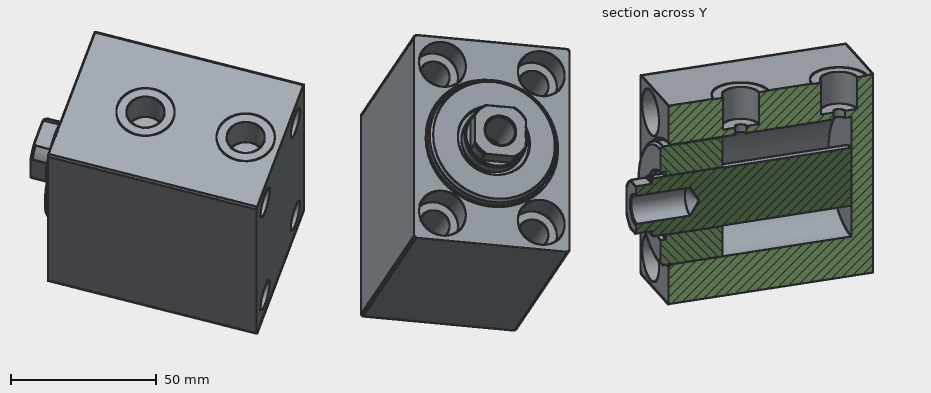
import cadquery as cq
import math

BLOCK_LENGTH = 75.0
BLOCK_WIDTH = 55.0
BLOCK_HEIGHT = 75.0
EDGE_CHAMFER = 0.7

BOLT_PITCH_Y = 35.0
BOLT_PITCH_Z = 55.0
BOLT_DIAMETER = 10.5
BOLT_HEAD_DIAMETER = 16.5
BOLT_HEAD_DEPTH = 11.0

PORT_FIRST_X = 26.5
PORT_SPACING = 36.0
PORT_DIAMETER = 13.05
PORT_DEPTH = 12.2
PORT_SEAT_DIAMETER = 20.0
PORT_SEAT_DEPTH = 0.2
PORT_DRILL_DIAMETER = 4.0

GLAND_DIAMETER = 45.0
GLAND_PROTRUSION = 3.0
GLAND_DEPTH = 20.0
GLAND_CHAMFER = 1.0
GLAND_RECESS_DIAMETER = 25.5
GLAND_RECESS_DEPTH = 1.9

BORE_MOUTH_CHAMFER = 1.0
BORE_END_WALL = 8.0
BORE_DEPTH = BLOCK_LENGTH - BORE_END_WALL

ROD_DIAMETER = 22.0
ROD_PROTRUSION = 12.0
NECK_LENGTH = 6.0
NECK_DIAMETER = 21.05
NECK_ACROSS_FLATS = 18.0
LEAD_CHAMFER_LENGTH = 0.7
SHOULDER_CHAMFER_RADIAL = 0.4
NECK_CHAMFER_RADIAL = 0.3
ROD_HOLE_DIAMETER = 10.4
ROD_HOLE_DEPTH = 20.0
ROD_HOLE_CHAMFER = 0.35
DRILL_POINT_ANGLE = 118


def x_cylinder(diameter, x_start, x_end):
    """Cylinder on the X axis between two X positions."""
    plane = cq.Workplane("YZ", origin=(x_start, 0, 0))
    return plane.circle(diameter / 2).extrude(x_end - x_start)


def z_cylinder(x, diameter, z_bottom, z_top):
    """Upright cylinder at the given X position."""
    plane = cq.Workplane("XY", origin=(x, 0, z_bottom))
    return plane.circle(diameter / 2).extrude(z_top - z_bottom)


def make_block():
    """Cylinder block with its mounting face at X = 0."""
    block = (
        cq.Workplane("YZ")
        .rect(BLOCK_WIDTH, BLOCK_HEIGHT)
        .extrude(BLOCK_LENGTH)
        .edges("|X")
        .chamfer(EDGE_CHAMFER)
    )

    block = block.cut(x_cylinder(GLAND_DIAMETER, 0, BORE_DEPTH))
    bore_radius = GLAND_DIAMETER / 2
    mouth = cq.Solid.makeCone(
        bore_radius + BORE_MOUTH_CHAMFER,
        bore_radius,
        BORE_MOUTH_CHAMFER,
        dir=cq.Vector(1, 0, 0),
    )
    block = block.cut(cq.Workplane(mouth))

    block = (
        block.faces("<X")
        .workplane(centerOption="ProjectedOrigin", origin=(0, 0, 0))
        .rect(BOLT_PITCH_Y, BOLT_PITCH_Z, forConstruction=True)
        .vertices()
        .cboreHole(BOLT_DIAMETER, BOLT_HEAD_DIAMETER, BOLT_HEAD_DEPTH)
    )

    top = BLOCK_HEIGHT / 2
    for x in (PORT_FIRST_X, PORT_FIRST_X + PORT_SPACING):
        block = block.cut(z_cylinder(x, PORT_SEAT_DIAMETER, top - PORT_SEAT_DEPTH, top))
        block = block.cut(z_cylinder(x, PORT_DIAMETER, top - PORT_DEPTH, top))
        block = block.cut(z_cylinder(x, PORT_DRILL_DIAMETER, 0, top))
    return block


def make_gland():
    """Ring that closes the bore and guides the rod."""
    gland = x_cylinder(GLAND_DIAMETER, -GLAND_PROTRUSION, GLAND_DEPTH)
    gland = gland.faces("<X").chamfer(GLAND_CHAMFER)
    recess = x_cylinder(
        GLAND_RECESS_DIAMETER, -GLAND_PROTRUSION, GLAND_RECESS_DEPTH - GLAND_PROTRUSION
    )
    rod_hole = x_cylinder(ROD_DIAMETER, -GLAND_PROTRUSION, GLAND_DEPTH)
    return gland.cut(recess).cut(rod_hole)


def lead_cylinder(diameter, x_start, x_end, chamfer_radial):
    """Cylinder on the X axis whose -X end has a slim lead-in chamfer."""
    radius = diameter / 2
    return (
        cq.Workplane("XY")
        .moveTo(x_start, 0)
        .lineTo(x_start, radius - chamfer_radial)
        .lineTo(x_start + LEAD_CHAMFER_LENGTH, radius)
        .lineTo(x_end, radius)
        .lineTo(x_end, 0)
        .close()
        .revolve(360, (0, 0, 0), (1, 0, 0))
    )


def make_rod():
    """Round rod with a four-flat neck and a drilled end."""
    tip_x = -ROD_PROTRUSION
    shoulder_x = tip_x + NECK_LENGTH
    shank = lead_cylinder(ROD_DIAMETER, shoulder_x, BORE_DEPTH, SHOULDER_CHAMFER_RADIAL)

    neck = lead_cylinder(NECK_DIAMETER, tip_x, shoulder_x, NECK_CHAMFER_RADIAL)
    square = (
        cq.Workplane("YZ", origin=(tip_x, 0, 0))
        .rect(NECK_ACROSS_FLATS, NECK_ACROSS_FLATS)
        .extrude(NECK_LENGTH)
    )
    rod = shank.union(neck.intersect(square))

    radius = ROD_HOLE_DIAMETER / 2
    wall_end_x = tip_x + ROD_HOLE_DEPTH
    point_length = radius / math.tan(math.radians(DRILL_POINT_ANGLE / 2))
    drilling = (
        cq.Workplane("XY")
        .moveTo(tip_x, 0)
        .lineTo(tip_x, radius + ROD_HOLE_CHAMFER)
        .lineTo(tip_x + ROD_HOLE_CHAMFER, radius)
        .lineTo(wall_end_x, radius)
        .lineTo(wall_end_x + point_length, 0)
        .close()
        .revolve(360, (0, 0, 0), (1, 0, 0))
    )
    return rod.cut(drilling)


block = make_block()
gland = make_gland()
rod = make_rod()

result = cq.Compound.makeCompound([block.val(), gland.val(), rod.val()])